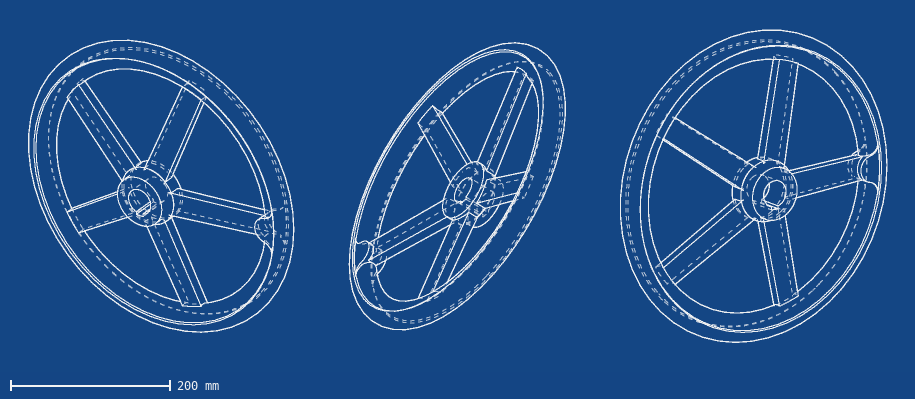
import cadquery as cq
import math

outer_diameter = 400.0
grip_diameter = 368.0
grip_radius = (outer_diameter - grip_diameter) / 2
overall_depth = 62.8
rim_back = grip_radius
hub_front = rim_back - overall_depth

rim_inner_radius = 162.8
web_inner_radius = 171.5
web_outer_radius = 182.5
web_recess = 2.5
web_slope_drop = 2.5

hub_diameter = 68.0
hub_collar_radius = 39.5
hub_fillet = hub_collar_radius - hub_diameter / 2
collar_front = -29.0
hub_back = -9.5
bore_diameter = 34.0
keyway_width = 10.0
keyway_reach = 20.0

spoke_count = 5
spoke_start = 24.0
spoke_end = 168.0
spoke_start_width = 33.0
spoke_end_width = 30.0
spoke_start_front = -31.5
spoke_end_front = -4.0
spoke_start_thickness = 14.5
spoke_end_thickness = 13.0

boss_centre = 171.0
boss_radius = 17.5
boss_fillet = 13.5
boss_half_depth = grip_radius - 1.5


def revolve_about_y(profile):
    return profile.close().revolve(360, (0, 0, 0), (0, 1, 0))


def cylinder_y(radius, front, back):
    """Cylinder on the wheel axis, between two Y positions."""
    return cq.Workplane("XZ", origin=(0, back, 0)).circle(radius).extrude(back - front)


def make_rim():
    grip_centre = grip_diameter / 2
    web_outer_depth = grip_radius - web_recess
    web_inner_depth = web_outer_depth - web_slope_drop
    return revolve_about_y(
        cq.Workplane("XY")
        .moveTo(grip_centre, -grip_radius)
        .threePointArc((outer_diameter / 2, 0), (grip_centre, grip_radius))
        .lineTo(web_outer_radius, web_outer_depth)
        .lineTo(web_inner_radius, web_inner_depth)
        .threePointArc((rim_inner_radius, 0), (web_inner_radius, -web_inner_depth))
        .lineTo(web_outer_radius, -web_outer_depth)
    )


def make_hub():
    hub_radius = hub_diameter / 2
    fillet_front = collar_front - hub_fillet
    fillet_offset = hub_fillet * (1 - math.sqrt(0.5))
    return revolve_about_y(
        cq.Workplane("XY")
        .moveTo(0, hub_front)
        .lineTo(hub_radius, hub_front)
        .lineTo(hub_radius, fillet_front)
        .threePointArc(
            (hub_radius + fillet_offset, collar_front - fillet_offset),
            (hub_collar_radius, collar_front),
        )
        .lineTo(hub_collar_radius, hub_back)
        .lineTo(0, hub_back)
    )


def make_spoke():
    """Spoke along +X: tapered in width and thickness, inclined from the hub to the rim."""
    side = (
        cq.Workplane("XY", origin=(0, 0, -spoke_start_width / 2))
        .moveTo(spoke_start, spoke_start_front)
        .lineTo(spoke_end, spoke_end_front)
        .lineTo(spoke_end, spoke_end_front + spoke_end_thickness)
        .lineTo(spoke_start, spoke_start_front + spoke_start_thickness)
        .close()
        .extrude(spoke_start_width)
    )
    face = (
        cq.Workplane("XZ", origin=(0, rim_back, 0))
        .moveTo(spoke_start, -spoke_start_width / 2)
        .lineTo(spoke_end, -spoke_end_width / 2)
        .lineTo(spoke_end, spoke_end_width / 2)
        .lineTo(spoke_start, spoke_start_width / 2)
        .close()
        .extrude(overall_depth)
    )
    return side.intersect(face)


def make_handle_boss():
    """Round boss flaring into the rim through a concave fillet on each side."""
    fillet_from_axis = web_outer_radius - boss_fillet
    fillet_from_boss = boss_radius + boss_fillet
    fillet_x = (fillet_from_axis**2 + boss_centre**2 - fillet_from_boss**2) / (2 * boss_centre)
    fillet_z = math.sqrt(fillet_from_axis**2 - fillet_x**2)
    boss_share = boss_radius / fillet_from_boss
    boss_touch_x = boss_centre + (fillet_x - boss_centre) * boss_share
    boss_touch_z = fillet_z * boss_share
    rim_touch_x = fillet_x * web_outer_radius / fillet_from_axis
    rim_touch_z = fillet_z * web_outer_radius / fillet_from_axis
    chord_x = (boss_touch_x + rim_touch_x) / 2 - fillet_x
    chord_z = (boss_touch_z + rim_touch_z) / 2 - fillet_z
    reach = boss_fillet / math.hypot(chord_x, chord_z)
    middle_x = fillet_x + chord_x * reach
    middle_z = fillet_z + chord_z * reach
    return (
        cq.Workplane("XZ", origin=(0, boss_half_depth, 0))
        .moveTo(rim_touch_x, -rim_touch_z)
        .threePointArc((middle_x, -middle_z), (boss_touch_x, -boss_touch_z))
        .threePointArc((boss_centre - boss_radius, 0), (boss_touch_x, boss_touch_z))
        .threePointArc((middle_x, middle_z), (rim_touch_x, rim_touch_z))
        .threePointArc((web_outer_radius, 0), (rim_touch_x, -rim_touch_z))
        .close()
        .extrude(2 * boss_half_depth)
    )


def make_bore():
    keyway = (
        cq.Workplane("XZ", origin=(0, rim_back, 0))
        .center(0, -keyway_reach / 2)
        .rect(keyway_width, keyway_reach)
        .extrude(overall_depth)
    )
    return cylinder_y(bore_diameter / 2, hub_front, rim_back).union(keyway)


result = make_rim().union(make_hub())
spoke = make_spoke()
for index in range(spoke_count):
    angle = index * 360 / spoke_count
    result = result.union(spoke.rotate((0, 0, 0), (0, 1, 0), angle))
result = result.union(make_handle_boss()).cut(make_bore())